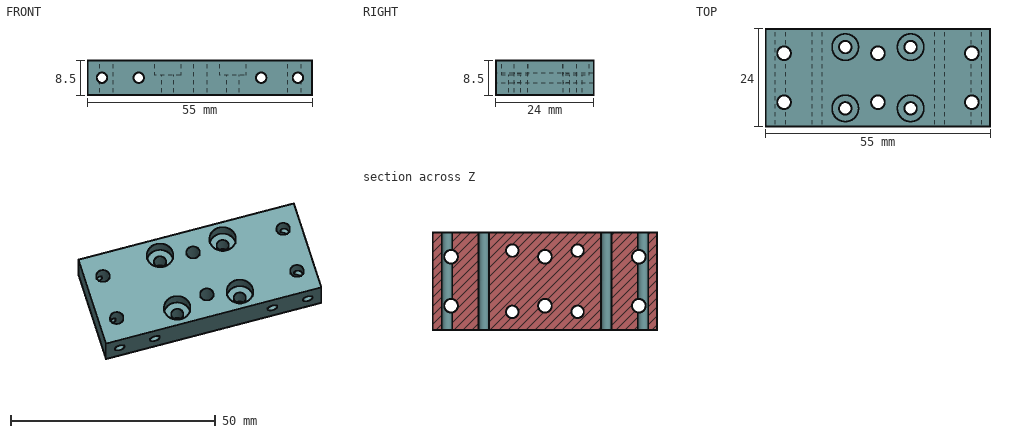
import cadquery as cq

length = 55.0
width = 24.0
thickness = 8.5

mount_diameter = 3.3
mount_pitch_x = 23.0
mount_pitch_y = 12.0

screw_diameter = 3.0
counterbore_diameter = 6.5
counterbore_depth = 3.5
screw_pitch_x = 16.0
screw_pitch_y = 15.0

cross_diameter = 2.5
cross_spacings = (30.0, 48.0)


def make_plate():
    return cq.Workplane("XY").box(length, width, thickness, centered=(True, True, False))


def drill_mount_holes(body):
    top = body.faces(">Z").workplane(origin=(0, 0, thickness))
    return top.rarray(mount_pitch_x, mount_pitch_y, 3, 2).hole(mount_diameter)


def drill_screw_holes(body):
    top = body.faces(">Z").workplane(origin=(0, 0, thickness))
    places = top.rarray(screw_pitch_x, screw_pitch_y, 2, 2)
    return places.cboreHole(screw_diameter, counterbore_diameter, counterbore_depth)


def drill_cross_holes(body):
    places = [(side * spacing / 2, thickness / 2) for spacing in cross_spacings for side in (-1, 1)]
    drills = (
        cq.Workplane("XZ")
        .pushPoints(places)
        .circle(cross_diameter / 2)
        .extrude(width / 2, both=True)
    )
    return body.cut(drills)


plate = make_plate()
plate = drill_mount_holes(plate)
plate = drill_screw_holes(plate)
result = drill_cross_holes(plate)